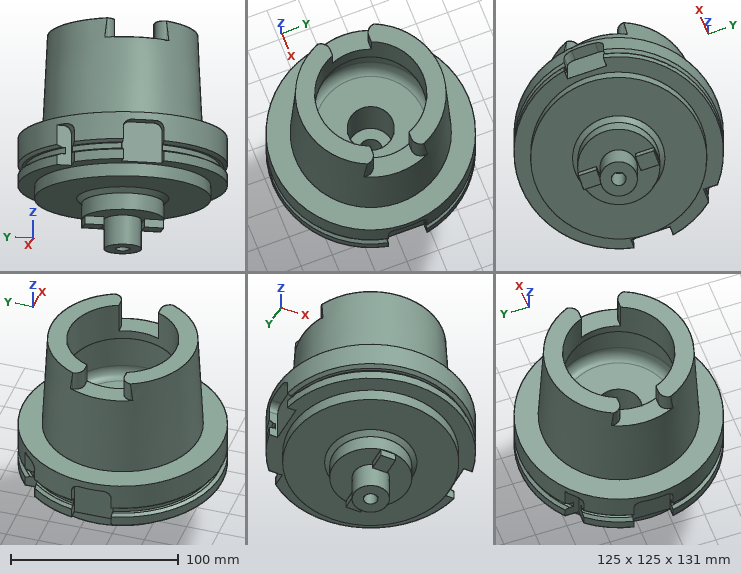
import cadquery as cq


taper_length = 63.0
taper_base_radius = 48.1
taper_slope = 1 / 20
taper_top_radius = taper_base_radius - taper_slope * taper_length
flange_radius = 62.5
flange_bottom = -29.0
disk_radius = 52.5
disk_bottom = -37.0
neck_radius = 24.5
neck_chamfer = 3.0
neck_bottom = -50.0
shank_radius = 11.1
shank_bottom = taper_length - 131

groove_radius = 58.4
groove_top = -18.1
groove_bottom = -21.9
groove_shelf_radius = 60.1
groove_upper_flank = 1.6
groove_lower_flank = 1.2

mouth_radius = 33.4
mouth_depth = 24.8
cavity_radius = 40.0
cavity_floor = 6.5
cavity_fillet = 6.5
counterbore_radius = 14.0
counterbore_floor = flange_bottom
pilot_radius = 7.0
pilot_floor = neck_bottom
through_radius = 4.3

slot_width = 24.8
left_slot_depth = 12.0
right_slot_depth = 19.1
lip_half_width = 41.1
lip_fillet = 5.9
flange_slot_top = -4.6
flange_slot_floor = 55.7
flange_slot_fillet = 5.0
notch_offset = 39.5

key_width = 9.5
key_height = 5.0
key_gap = slot_width
key_span = 48.0


def outer_body():
    """Solid of revolution with the taper, flange, groove, disk, neck and shank."""
    profile = [
        (0, taper_length),
        (taper_top_radius, taper_length),
        (taper_base_radius, 0),
        (flange_radius, 0),
        (flange_radius, groove_top + groove_upper_flank),
        (groove_shelf_radius, groove_top),
        (groove_radius, groove_top),
        (groove_radius, groove_bottom),
        (groove_shelf_radius, groove_bottom),
        (flange_radius, groove_bottom - groove_lower_flank),
        (flange_radius, flange_bottom),
        (disk_radius, flange_bottom),
        (disk_radius, disk_bottom),
        (neck_radius + neck_chamfer, disk_bottom),
        (neck_radius, disk_bottom - neck_chamfer),
        (neck_radius, neck_bottom),
        (shank_radius, neck_bottom),
        (shank_radius, shank_bottom),
        (0, shank_bottom),
    ]
    return cq.Workplane("YZ").polyline(profile).close().revolve(360, (0, 0), (0, 1))


def cylinder(radius, bottom, top):
    return cq.Workplane("XY", origin=(0, 0, bottom)).circle(radius).extrude(top - bottom)


def cavity():
    """Stepped bore, with a wide chamber behind the mouth and a hole right through."""
    chamber = cylinder(cavity_radius, cavity_floor, taper_length - mouth_depth)
    chamber = chamber.faces("<Z").edges().fillet(cavity_fillet)
    return (
        chamber.union(cylinder(mouth_radius, cavity_floor, taper_length))
        .union(cylinder(counterbore_radius, counterbore_floor, cavity_floor))
        .union(cylinder(pilot_radius, pilot_floor, cavity_floor))
        .union(cylinder(through_radius, shank_bottom, cavity_floor))
    )


def taper_slot(side, depth):
    """Slot across the taper end on one side (-1 or 1 in X), flaring out round the lip corners."""
    half_width = slot_width / 2
    mouth_half_width = taper_base_radius / 2
    lip_end = side * lip_half_width
    round_start = side * (lip_half_width - lip_fillet)
    outside = side * flange_radius
    half_outline = (
        cq.Workplane("XY", origin=(0, 0, taper_length - depth))
        .lineTo(0, half_width)
        .lineTo(round_start, half_width)
        .radiusArc((lip_end, half_width + lip_fillet), -side * lip_fillet)
        .lineTo(lip_end, mouth_half_width)
        .lineTo(outside, mouth_half_width)
        .lineTo(outside, 0)
        .close()
    )
    half_slot = half_outline.extrude(depth)
    return half_slot.union(half_slot.mirror("XZ"))


def flange_slot(side, floor, first_wall):
    """Slot in the flange rim, open outwards and downwards, with rounded upper corners."""
    length = flange_radius - floor
    return (
        cq.Workplane("XY")
        .box(length, slot_width, flange_slot_top - flange_bottom, centered=(True, False, False))
        .edges("|X and >Z")
        .fillet(flange_slot_fillet)
        .translate((side * (floor + length / 2), first_wall, flange_bottom))
    )


def drive_keys():
    """Two rectangular keys below the neck, set either side of the shank."""
    key_length = (key_span - key_gap) / 2
    key_center = (key_span + key_gap) / 4
    return (
        cq.Workplane("XY", origin=(0, 0, neck_bottom))
        .pushPoints([(0, -key_center), (0, key_center)])
        .rect(key_width, key_length)
        .extrude(-key_height)
    )


result = outer_body().union(drive_keys()).cut(cavity())
result = result.cut(taper_slot(-1, left_slot_depth)).cut(taper_slot(1, right_slot_depth))

for slot_side in (-1, 1):
    result = result.cut(flange_slot(slot_side, flange_slot_floor, -slot_width / 2))

result = result.cut(flange_slot(-1, notch_offset, notch_offset))